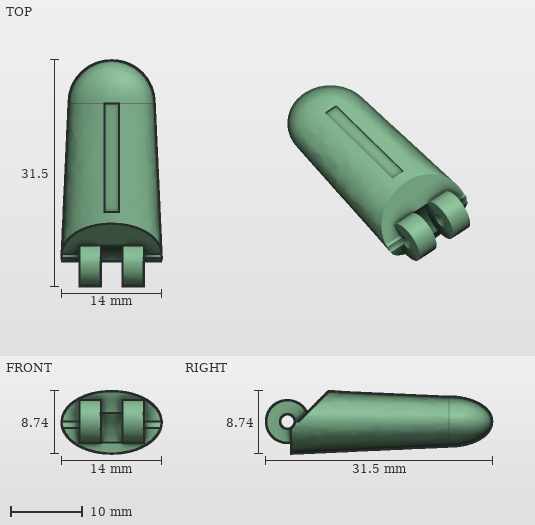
import cadquery as cq

overall_length = 31.5
hinge_radius = 3.0
pin_radius = 1.0
lug_gap = 3.0
lug_width = 3.0

base_width = 14.02
base_height = 8.98
neck_width = 12.0
neck_height = 7.0
base_y = 0.5

bevel_start_y = 1.5

slot_width = 2.02
slot_length = 15.1
slot_depth = 0.5

dome_radius = neck_width / 2
neck_y = overall_length - hinge_radius - dome_radius
body_length = neck_y - base_y
taper_slope = (base_height - neck_height) / 2 / body_length


def cylinder_on_hinge_axis(radius, start_x, length):
    return cq.Workplane("YZ").workplane(offset=start_x).circle(radius).extrude(length)


def tapered_body():
    """Elliptical cone from the hinge end to the neck."""
    return (
        cq.Workplane("XZ", origin=(0, base_y, 0))
        .ellipse(base_width / 2, base_height / 2)
        .workplane(offset=-body_length)
        .ellipse(neck_width / 2, neck_height / 2)
        .loft(ruled=True)
    )


def dome():
    """Half sphere beyond the neck, flattened in Z to match the neck ellipse."""
    flatten = cq.Matrix([
        [1, 0, 0, 0],
        [0, 1, 0, neck_y],
        [0, 0, neck_height / neck_width, 0],
    ])
    keep_half = cq.Workplane("XY").box(
        neck_width, dome_radius, neck_width, centered=(True, False, True)
    )
    half_sphere = cq.Workplane("XY").sphere(dome_radius).intersect(keep_half)
    return cq.Workplane(half_sphere.val().transformGeometry(flatten))


def bevel_cutter():
    """Wedge above the mid plane, bounded by the 45 degree bevel."""
    return (
        cq.Workplane("YZ")
        .lineTo(bevel_start_y, 0)
        .lineTo(bevel_start_y + base_height, base_height)
        .lineTo(0, base_height)
        .close()
        .extrude(base_width, both=True)
    )


def slot_cutter():
    """Shallow slot along the top ridge, ending at the neck."""
    slot_start_y = neck_y - slot_length
    neck_floor_z = neck_height / 2 - slot_depth
    start_floor_z = neck_floor_z + slot_length * taper_slope
    return (
        cq.Workplane("YZ")
        .moveTo(slot_start_y, start_floor_z)
        .lineTo(neck_y, neck_floor_z)
        .lineTo(neck_y, base_height)
        .lineTo(slot_start_y, base_height)
        .close()
        .extrude(slot_width / 2, both=True)
    )


result = tapered_body().union(dome()).cut(bevel_cutter()).cut(slot_cutter())

for lug_start_x in (-lug_gap / 2 - lug_width, lug_gap / 2):
    result = result.union(cylinder_on_hinge_axis(hinge_radius, lug_start_x, lug_width))
result = result.cut(cylinder_on_hinge_axis(hinge_radius, -lug_gap / 2, lug_gap))

result = result.cut(cylinder_on_hinge_axis(pin_radius, -base_width / 2, base_width))